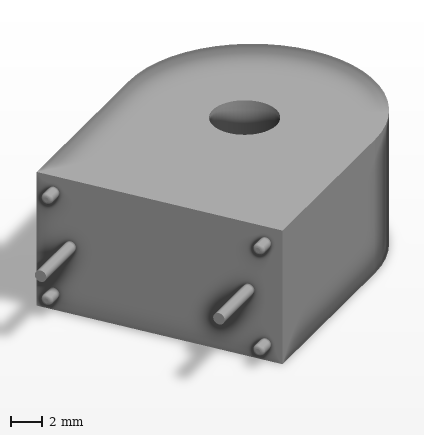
import cadquery as cq

total_length = 26.47
body_width = 17.52
body_height = 9.77
pin_length = 4.31
pin_diameter = 0.82
pin_spacing = 12.7
stub_length = 1.1
stub_diameter = 0.82
stub_spacing_x = 15.1
stub_spacing_z = 7.39
stub_end_radius = 0.25
hole_diameter = 4.55
hole_to_pin_face = 12.3

body_length = total_length - pin_length
arch_radius = body_width / 2
arch_center_y = body_length - arch_radius


def make_body():
    """Block with a half-round far end and a through hole, centred on Z = 0."""
    outline = (
        cq.Workplane("XY", origin=(0, 0, -body_height / 2))
        .moveTo(-arch_radius, 0)
        .lineTo(arch_radius, 0)
        .lineTo(arch_radius, arch_center_y)
        .threePointArc((0, body_length), (-arch_radius, arch_center_y))
        .close()
    )
    hole = (
        cq.Workplane("XY", origin=(0, hole_to_pin_face, -body_height / 2))
        .circle(hole_diameter / 2)
        .extrude(body_height)
    )
    return outline.extrude(body_height).cut(hole)


def make_pins():
    """Two long straight pins at mid height, pointing along -Y."""
    return (
        cq.Workplane("XZ")
        .rarray(pin_spacing, 0.26, 2, 1)
        .circle(pin_diameter / 2)
        .extrude(pin_length)
    )


def make_stubs():
    """Four short stand-off stubs with rounded ends, pointing along -Y."""
    return (
        cq.Workplane("XZ")
        .rarray(stub_spacing_x, stub_spacing_z, 2, 2)
        .circle(stub_diameter / 2)
        .extrude(stub_length)
        .faces("<Y")
        .edges()
        .fillet(stub_end_radius)
    )


result = make_body().union(make_pins()).union(make_stubs())